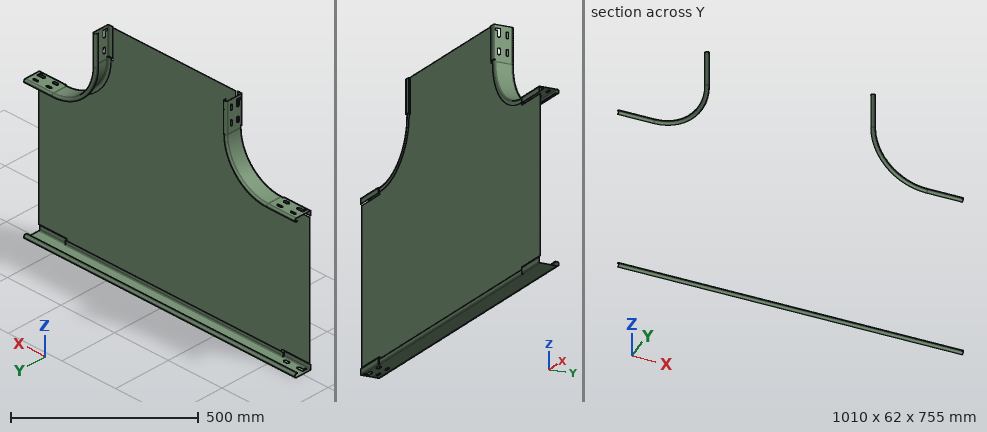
import cadquery as cq
import math

length = 1010.0
tray_width = 500.0
wall_height = 62.0
end_length = 105.0
bend_radius = (length - tray_width) / 2 - end_length
height = tray_width + end_length + bend_radius

sheet = 1.5
flange_setback = 3.0
fold_radius = 3.0
flange_width = 14.0
lip_radius = 6.6
lip_return = 5.0

end_flange_length = 99.0
end_flange_width = 17.0
relief_length = 104.0
relief_width = 21.0

slot_stations = (25.0, 75.0)
slot_length = 19.0
back_slot_y = 41.0
back_slot_width = 6.0
front_slot_y = 16.0
front_slot_width = 9.0
notch_start = 10.0
notch_width = 6.0
notch_front_y = 5.0

half_bend_angle = 45


def rail_section(start, front_y, width):
    """Sheet section at x = start: web outside on Z = 0, flange and lip turned toward -Z."""
    plane = cq.Plane(origin=(start, 0, 0), xDir=(0, 0, -1), normal=(1, 0, 0))
    diagonal = math.sqrt(0.5)
    fold_y = front_y + fold_radius
    fold_outside = fold_radius * (1 - diagonal)
    fold_inside = fold_radius - (fold_radius - sheet) * diagonal
    lip_y = wall_height - lip_radius
    lip_end_y = lip_y - lip_return
    lip_width = 2 * lip_radius
    return (
        cq.Workplane(plane)
        .moveTo(width, front_y)
        .lineTo(fold_radius, front_y)
        .threePointArc((fold_outside, front_y + fold_outside), (0, fold_y))
        .lineTo(0, lip_y)
        .threePointArc((lip_radius, wall_height), (lip_width, lip_y))
        .lineTo(lip_width, lip_end_y)
        .lineTo(lip_width - sheet, lip_end_y)
        .lineTo(lip_width - sheet, lip_y)
        .threePointArc((lip_radius, wall_height - sheet), (sheet, lip_y))
        .lineTo(sheet, fold_y)
        .threePointArc((fold_inside, front_y + fold_inside), (fold_radius, front_y + sheet))
        .lineTo(width, front_y + sheet)
        .close()
    )


def web_slots():
    """Cutter for the slots of one rail end at x = 0; the slot by the end and flange is L-shaped."""
    web = cq.Workplane("XY")
    back_slots = web.pushPoints([(x, back_slot_y) for x in slot_stations])
    cutter = back_slots.slot2D(slot_length, back_slot_width).extrude(-2 * sheet)
    front_slots = web.pushPoints([(x, front_slot_y) for x in slot_stations])
    cutter = cutter.union(front_slots.slot2D(slot_length, front_slot_width).extrude(-2 * sheet))

    slot_back_y = front_slot_y + front_slot_width / 2
    slot_front_y = front_slot_y - front_slot_width / 2
    notch = (
        web.moveTo(notch_start, notch_front_y)
        .lineTo(notch_start + notch_width, notch_front_y)
        .lineTo(notch_start + notch_width, slot_front_y)
        .lineTo(slot_stations[0], slot_front_y)
        .lineTo(slot_stations[0], slot_back_y)
        .lineTo(notch_start, slot_back_y)
        .close()
        .extrude(-2 * sheet)
    )
    return cutter.union(notch)


def end_piece(start):
    """Rail stretch with the wide, stepped-out end flange."""
    return rail_section(start, 0, end_flange_width).extrude(end_flange_length)


def middle_piece(start, end):
    """Rail stretch with the set-back flange that meets the plate."""
    return rail_section(start, flange_setback, flange_width).extrude(end - start)


def curved_rail(side):
    """Corner rail at -X (side = -1) or +X (side = 1), symmetric about the bend's diagonal."""
    half = end_piece(0).cut(web_slots()).union(middle_piece(end_flange_length, end_length))
    half_bend = rail_section(end_length, flange_setback, flange_width).revolve(
        half_bend_angle, (-bend_radius, 0), (-bend_radius, -1)
    )
    half = half.union(half_bend)
    other_half = half.mirror((1, 0, 1), (end_length, 0, bend_radius))
    rail = half.union(other_half).translate((-length / 2, 0, tray_width))
    return rail if side < 0 else rail.mirror("YZ")


def straight_rail():
    """Rail along the bottom of the tray, slotted at its -X end only."""
    far_end = length - end_flange_length
    rail = end_piece(0).cut(web_slots())
    rail = rail.union(middle_piece(end_flange_length, far_end)).union(end_piece(far_end))
    return rail.mirror("XY").translate((-length / 2, 0, 0))


def base_plate():
    """Flat tee that fills the space between the rail flanges, relieved beside each end flange."""
    run_x = length / 2
    bend_x = run_x - end_length
    branch_x = tray_width / 2 - flange_width
    run_top = tray_width - flange_width
    bend_z = height - end_length
    arc_offset = (bend_radius + flange_width) * math.sqrt(0.5)
    arc_x = bend_x - arc_offset
    arc_z = bend_z - arc_offset
    plane = cq.Plane(origin=(0, flange_setback, 0), xDir=(1, 0, 0), normal=(0, -1, 0))
    plate = (
        cq.Workplane(plane)
        .moveTo(-run_x, flange_width)
        .lineTo(run_x, flange_width)
        .lineTo(run_x, run_top)
        .lineTo(bend_x, run_top)
        .threePointArc((arc_x, arc_z), (branch_x, bend_z))
        .lineTo(branch_x, height)
        .lineTo(-branch_x, height)
        .lineTo(-branch_x, bend_z)
        .threePointArc((-arc_x, arc_z), (-bend_x, run_top))
        .lineTo(-run_x, run_top)
        .close()
        .extrude(-sheet)
    )
    relief_x = run_x - relief_length / 2
    run_reliefs = [
        (side * relief_x, wall_z)
        for side in (-1, 1)
        for wall_z in (relief_width / 2, tray_width - relief_width / 2)
    ]
    branch_relief_x = (tray_width - relief_width) / 2
    branch_relief_z = height - relief_length / 2
    branch_reliefs = [(side * branch_relief_x, branch_relief_z) for side in (-1, 1)]
    face = cq.Workplane(plane)
    run_cutter = face.pushPoints(run_reliefs).rect(relief_length, relief_width).extrude(-sheet)
    branch_cutter = face.pushPoints(branch_reliefs).rect(relief_width, relief_length).extrude(-sheet)
    return plate.cut(run_cutter).cut(branch_cutter)


plate = base_plate()
bottom_rail = straight_rail()
corner_rails = [curved_rail(side) for side in (-1, 1)]

result = cq.Compound.makeCompound(
    [plate.val(), bottom_rail.val(), *[rail.val() for rail in corner_rails]]
)